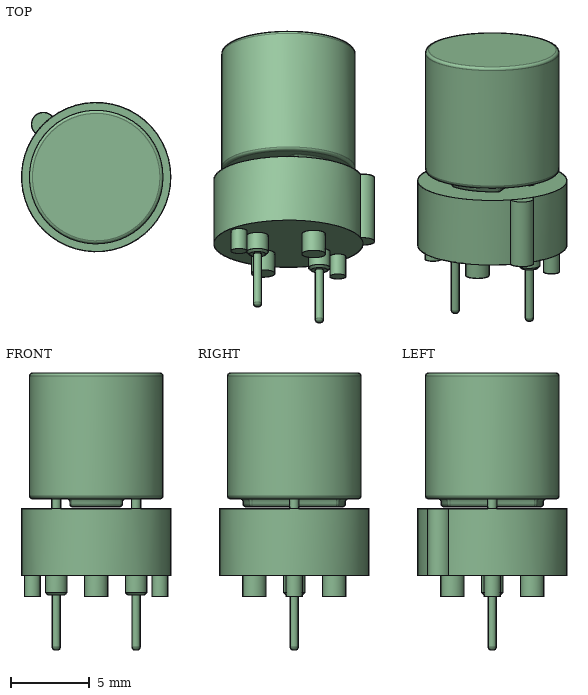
import cadquery as cq
import math

total_height = 17.63
base_bottom = 4.75
base_height = 4.27
can_height = 8.0
base_top = base_bottom + base_height
can_bottom = total_height - can_height

base_diameter = 9.5
base_radius = base_diameter / 2
tab_radius = 0.75
tab_angle = math.radians(135)
foot_height = 1.34
small_foot_radius = 0.51
small_foot_offset = 4.05
large_foot_diameter = 1.5
large_foot_radius = large_foot_diameter / 2
contact_offset = 2.54

collar_radius = 0.69
collar_height = 1.23
collar_chamfer = 0.15
pin_radius = 0.26
pin_tip_rounding = 0.21

can_radius = 4.25
can_rounding = 0.2
boss_radius = 3.26
boss_width = 3.35
boss_depth = 0.51
boss_rounding = 0.2
joint_tolerance = 0.02
lead_radius = 0.3


def cylinder(x, y, radius, bottom, top):
    """Upright cylinder between two heights."""
    return cq.Workplane("XY", origin=(x, y, bottom)).circle(radius).extrude(top - bottom)


def make_contact(x):
    """Collar under the base with a pin running down to a rounded tip."""
    collar = cylinder(x, 0, collar_radius, base_bottom - collar_height, base_bottom)
    collar = collar.faces("<Z").chamfer(collar_chamfer)
    pin = cylinder(x, 0, pin_radius, 0, base_bottom)
    pin = pin.faces("<Z").fillet(pin_tip_rounding)
    return collar.union(pin)


def make_base():
    """Round base standing on four feet, with two contacts that are part of it."""
    base = cylinder(0, 0, base_radius, base_bottom, base_top)
    foot_bottom = base_bottom - foot_height
    for side in (-1, 1):
        small_foot = cylinder(side * small_foot_offset, 0, small_foot_radius, foot_bottom, base_bottom)
        large_foot = cylinder(0, side * contact_offset, large_foot_radius, foot_bottom, base_bottom)
        base = base.union(small_foot).union(large_foot)
        base = base.union(make_contact(side * contact_offset))
    return base


def make_tab():
    """Key tab centred on the rim of the base, cut back to fit against it."""
    x = base_radius * math.cos(tab_angle)
    y = base_radius * math.sin(tab_angle)
    tab = cylinder(x, y, tab_radius, base_bottom, base_top)
    return tab.cut(cylinder(0, 0, base_radius, base_bottom, base_top))


def make_can():
    """Rounded can with a flat-sided boss under it and two leads down to the base."""
    can = cylinder(0, 0, can_radius, can_bottom, total_height)
    can = can.faces("<Z or >Z").edges().fillet(can_rounding)

    boss_bottom = can_bottom - boss_depth
    boss = cylinder(0, 0, boss_radius, boss_bottom, can_bottom)
    boss_sides = cq.Workplane("XY").box(boss_width, 2 * boss_radius, 2 * total_height)
    boss = boss.intersect(boss_sides).edges("|Z").fillet(boss_rounding)
    boss = boss.faces("<Z").edges().fillet(boss_rounding)
    can = can.union(boss)

    joint = cq.selectors.BoxSelector(
        (-boss_radius, -boss_radius, can_bottom - joint_tolerance),
        (boss_radius, boss_radius, can_bottom + joint_tolerance),
        boundingbox=True,
    )
    can = can.edges(joint).fillet(boss_rounding)

    for side in (-1, 1):
        can = can.union(cylinder(side * contact_offset, 0, lead_radius, base_top, can_bottom))
    return can


can = make_can()
base = make_base()
tab = make_tab()

result = cq.Compound.makeCompound([can.val(), base.val(), tab.val()])